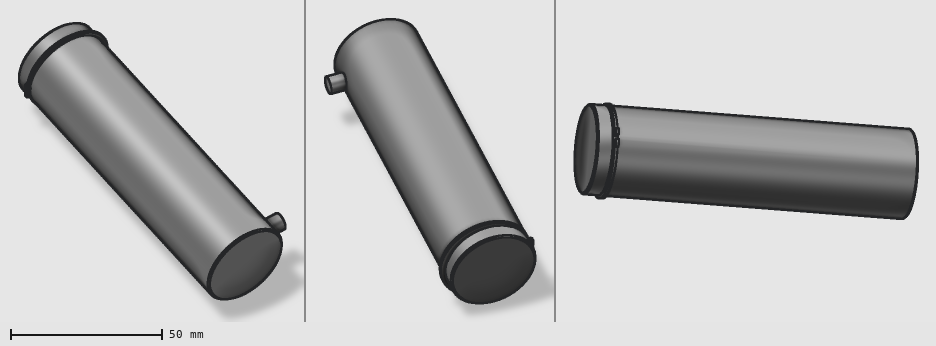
import cadquery as cq
import math

length = 110.0
shaft_diameter = 30.0
end_chamfer = 0.5

groove_diameter = 28.6
groove_start = 5.4
groove_end = 7.0
ring_thickness = 1.0
ring_diameter = 31.6
ring_offset = 0.7
ring_start = groove_end - ring_thickness

lug_reach = 16.4
lug_radius = 1.05
lug_hole_diameter = 0.81
lug_spacing = 4.4
ring_gap = 1.6
lug_center_y = lug_radius - lug_reach

pin_diameter = 6.0
pin_end_distance = 9.0
pin_tip_y = 21.0
pin_dome_height = 0.7


def make_shaft():
    shaft = cq.Workplane("YZ").circle(shaft_diameter / 2).extrude(length)
    shaft = shaft.faces("<X or >X").chamfer(end_chamfer)
    groove = (
        cq.Workplane("YZ", origin=(groove_start, 0, 0))
        .circle(shaft_diameter)
        .circle(groove_diameter / 2)
        .extrude(groove_end - groove_start)
    )
    return shaft.cut(groove)


def make_lug(side):
    """Lug above (side = 1) or below (side = -1) the gap: round outside, square along the gap."""
    center_z = side * lug_spacing / 2
    gap_z = side * ring_gap / 2
    plane = cq.Workplane("YZ", origin=(ring_start, 0, 0))
    lobe = plane.center(lug_center_y, center_z).circle(lug_radius).extrude(ring_thickness)
    square_side = (
        plane.moveTo(-lug_reach, gap_z)
        .lineTo(-lug_reach, center_z)
        .lineTo(0, center_z)
        .lineTo(0, gap_z)
        .close()
        .extrude(ring_thickness)
    )
    return lobe.union(square_side)


def make_ring():
    ring = (
        cq.Workplane("YZ", origin=(ring_start, 0, 0))
        .center(ring_offset, 0)
        .circle(ring_diameter / 2)
        .extrude(ring_thickness)
    )
    for side in (1, -1):
        ring = ring.union(make_lug(side))
    seat = cq.Workplane("YZ").circle(groove_diameter / 2).extrude(length)
    gap = cq.Workplane("XY").box(length, lug_reach, ring_gap).translate((0, -lug_reach / 2, 0))
    holes = (
        cq.Workplane("YZ", origin=(ring_start, 0, 0))
        .pushPoints([(lug_center_y, side * lug_spacing / 2) for side in (1, -1)])
        .circle(lug_hole_diameter / 2)
        .extrude(ring_thickness)
    )
    return ring.cut(seat).cut(gap).cut(holes)


def make_pin():
    """Half profile revolved about the pin axis, from the shaft axis to the domed tip."""
    radius = pin_diameter / 2
    dome_radius = (radius**2 + pin_dome_height**2) / (2 * pin_dome_height)
    middle_x = radius / 2
    middle_y = pin_tip_y - dome_radius + math.sqrt(dome_radius**2 - middle_x**2)
    return (
        cq.Workplane("XY")
        .lineTo(radius, 0)
        .lineTo(radius, pin_tip_y - pin_dome_height)
        .threePointArc((middle_x, middle_y), (0, pin_tip_y))
        .close()
        .revolve(360, (0, 0, 0), (0, 1, 0))
        .translate((length - pin_end_distance, 0, 0))
    )


result = make_shaft().union(make_ring()).union(make_pin())